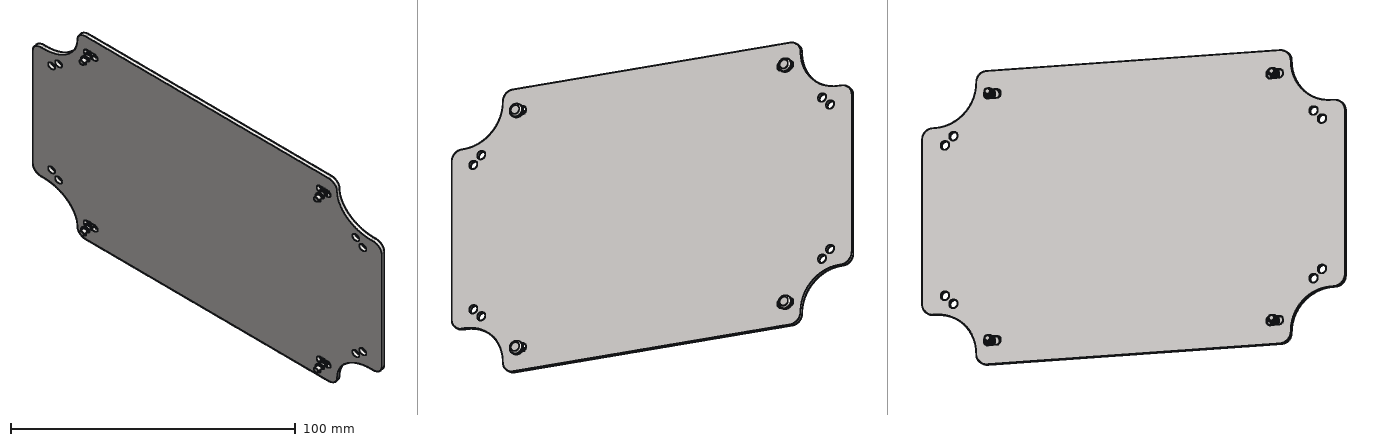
import cadquery as cq

plate_length = 156.4
plate_height = 105.5
plate_thickness = 1.5
notch_length = 20.0
notch_height = 19.2
notch_radius = 15.2
corner_radius = 3.9

slot_offset_x = 52.2
slot_offset_z = 44.4
slot_length = 6.3
slot_width = 3.3

hole_diameter = 3.1
outer_hole_x = 69.7
outer_hole_z = 27.0
hole_step = 3.1

screw_offset_x = 52.5
head_diameter = 4.8
head_height = 1.7
head_chamfer_width = 0.8
head_chamfer_height = 0.6
shank_reach = 4.7
core_diameter = 2.0
thread_diameter = 3.0
thread_pitch = 1.9
thread_root_width = 1.0
thread_crest_width = 0.3
thread_sink = 0.2
thread_end_gap = 0.2

inner_length = plate_length - 2 * notch_length
inner_height = plate_height - 2 * notch_height
shank_length = shank_reach + plate_thickness


def mirrored_points(x, z):
    """The point and its mirror images about both plate centre lines."""
    return [(sign_x * x, sign_z * z) for sign_x in (-1, 1) for sign_z in (-1, 1)]


def make_bar(length, height):
    """A flat rectangular bar of plate thickness with rounded corners."""
    bar = cq.Workplane("XZ").rect(length, height).extrude(-plate_thickness)
    return bar.edges("|Y").fillet(corner_radius)


def make_plate():
    plate = make_bar(plate_length, inner_height).union(make_bar(inner_length, plate_height))

    reach_x = inner_length / 2 + corner_radius / 2
    reach_z = inner_height / 2 + corner_radius / 2
    inner_corners = cq.selectors.BoxSelector((-reach_x, 0, -reach_z), (reach_x, plate_thickness, reach_z))
    plate = plate.edges("|Y").edges(inner_corners).fillet(notch_radius)

    slots = (
        cq.Workplane("XZ")
        .pushPoints(mirrored_points(slot_offset_x, slot_offset_z))
        .slot2D(slot_length, slot_width)
        .extrude(-plate_thickness)
    )
    outer_holes = mirrored_points(outer_hole_x, outer_hole_z)
    inner_holes = mirrored_points(outer_hole_x - hole_step, outer_hole_z + hole_step)
    holes = (
        cq.Workplane("XZ")
        .pushPoints(outer_holes + inner_holes)
        .circle(hole_diameter / 2)
        .extrude(-plate_thickness)
    )
    return plate.cut(slots).cut(holes)


def make_thread():
    """Helical ridge around the screw axis (+Z), slightly sunk into the core."""
    root_radius = core_diameter / 2 - thread_sink
    crest_radius = thread_diameter / 2
    start = thread_end_gap + thread_root_width / 2
    thread_length = shank_length - 2 * start
    helix = cq.Wire.makeHelix(thread_pitch, thread_length, root_radius, cq.Vector(0, 0, start))
    profile = cq.Workplane("XZ").polyline(
        [
            (root_radius, start - thread_root_width / 2),
            (crest_radius, start - thread_crest_width / 2),
            (crest_radius, start + thread_crest_width / 2),
            (root_radius, start + thread_root_width / 2),
        ]
    ).close()
    return profile.sweep(cq.Workplane(helix), isFrenet=True)


def make_screw():
    core = cq.Workplane("XY").circle(core_diameter / 2).extrude(shank_length)
    head = (
        cq.Workplane("XY", origin=(0, 0, shank_length))
        .circle(head_diameter / 2)
        .extrude(head_height)
        .faces(">Z")
        .edges()
        .chamfer(head_chamfer_height, head_chamfer_width)
    )
    return core.union(head).union(make_thread())


def place_screw(x, z):
    """A screw turned so that its head bears on the back face of the plate."""
    screw = make_screw().rotate((0, 0, 0), (1, 0, 0), -90)
    return screw.translate((x, -shank_reach, z))


plate = make_plate()
screws = [place_screw(x, z) for x, z in mirrored_points(screw_offset_x, slot_offset_z)]

result = cq.Compound.makeCompound([plate.val()] + [screw.val() for screw in screws])